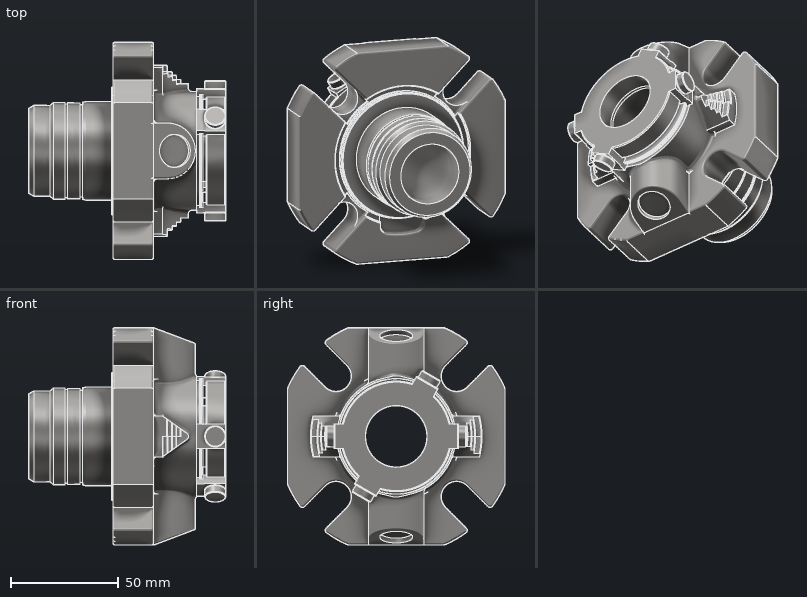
import cadquery as cq
import math

disc_start = 38.6
flange_start = 39.3
flange_end = 58.2
neck_start = 78.3
ring_start = 79.6
ring_end = 81.2
collar_start = 82.7
length = 91.91

bore_diameter = 28.57
liner_diameter = 28.65
nose_face_radius = 19.8
nose_radius = 42.58 / 2
nose_end_radius = nose_radius - 0.1
seat_radius = 45.32 / 2
band_radius = 44.91 / 2
band_end_radius = band_radius - 0.08
groove_radius = 43.24 / 2
first_groove_radius = groove_radius + 0.3
shoulder_radius = 22.7
sleeve_radius = 46.26 / 2
nose_chamfer_end = 2.4
nose_land_end = 8.2
nose_taper_end = 9.9
seat_start = 11.6
seat_end = 17.0
band_start = 18.0
band_middle = 20.9
band_end = 24.0
shoulder_start = 25.2
shoulder_end = 26.9

flange_width = 101.5
flange_corner_radius = 55.5
edge_fillet = 1.0
tip_fillet = 1.4
bolt_slot_radius = 7.1
bolt_slot_pitch_radius = 39.75
pocket_depth = 3.5
pocket_fillet = 0.9
hub_radius = 31.2
hub_step_radius = 30.5
hub_step_height = 0.9
counterbore_radius = 33.5
counterbore_depth = 2.2
counterbore_chamfer = 0.45
disc_radius = 29.9
disc_chamfer = 0.3

recess_half_width = 10.8
recess_radius = 38.0
recess_corner_radius = 4.5
recess_depth = 2.9
recess_fillet = 0.8

barrel_radius = 55.5 / 2
barrel_fillet = 2.1
barrel_run_out = 5.0
boss_radius = 13.0
boss_centre_x = 64.7
boss_end_height = 43.4
boss_edge_fillet = 0.8
boss_base_fillet = 1.9
port_diameter = 15.34
port_depth = 2.4
port_centre_x = 68.2
fin_half_width = 9.5
fin_corner_x = 62.4
fin_apex_x = 75.8
fin_tip_radius = 1.8
fin_embed_radius = 23.7
fin_base_fillet = 1.6
fin_step_radii = [40.0, 37.0, 35.3, 33.4, 31.4]
fin_step_ends = [64.7, 67.0, 69.0, 71.0, fin_apex_x]
fin_tread_chamfer = 0.4
fin_stagger = 2.0

neck_radius = 26.0
ring_radius = 27.0
ring_groove_width = 0.4
ring_groove_depth = 0.3
collar_radius = 51.66 / 2
collar_chamfer = 0.5
lug_width = 11.5
lug_inner_radius = 24.0
lug_outer_radius = 29.0
lug_ramp_start = 81.3
lug_step = 0.4
lug_angles = [0, 60, 180, 240]
pin_diameter = 9.88
pin_end_radius = 32.75
pin_chamfer = 0.35
pin_neck_diameter = 9.0
pin_neck_height = 0.4
pin_centre_x = length - pin_diameter / 2

half_width = flange_width / 2
tolerance = 0.01
boss_slope = math.atan2(half_width - boss_end_height, boss_centre_x + boss_radius - flange_end)


def disc(start, end, radius):
    """Cylinder about X between two stations."""
    return cq.Workplane("YZ", origin=(start, 0, 0)).circle(radius).extrude(end - start)


def revolved(points):
    """Solid of revolution about X from a half profile of (x, radius) points."""
    return cq.Workplane("XY").polyline(points).close().revolve(360, (0, 0, 0), (1, 0, 0))


def sleeve():
    """Stepped and grooved sleeve ahead of the flange; the bore is cut later."""
    return revolved([
        (0, 0), (0, nose_face_radius),
        (nose_chamfer_end, nose_radius), (nose_land_end, nose_radius), (nose_taper_end, nose_end_radius),
        (seat_start, seat_radius), (seat_end, seat_radius),
        (seat_end, first_groove_radius), (band_start, first_groove_radius),
        (band_start, band_radius), (band_middle, band_radius), (band_end, band_end_radius),
        (band_end, groove_radius), (shoulder_start, groove_radius),
        (shoulder_start, shoulder_radius), (shoulder_end, sleeve_radius),
        (disc_start, sleeve_radius), (disc_start, 0),
    ])


def flange_blank():
    thickness = flange_end - flange_start
    square = cq.Workplane("YZ", origin=(flange_start, 0, 0)).rect(flange_width, flange_width)
    square = square.extrude(thickness)
    return square.intersect(disc(flange_start, flange_end, flange_corner_radius))


def four_diagonals(tool):
    """The four copies of a +Y tool turned onto the flange diagonals."""
    copies = cq.Workplane("XY")
    for quarter in range(4):
        copies = copies.add(tool.rotate((0, 0, 0), (1, 0, 0), 45 + 90 * quarter))
    return copies.combine()


def slot_channel(start, end, inner_radius):
    """Straight channel of slot width that runs outward along +Y from inner_radius."""
    run = flange_width - inner_radius
    channel = cq.Workplane("XY").box(end - start, run, 2 * bolt_slot_radius)
    return channel.translate(((start + end) / 2, inner_radius + run / 2, 0))


def bolt_slot():
    round_end = disc(flange_start, flange_end, bolt_slot_radius).translate((0, bolt_slot_pitch_radius, 0))
    return slot_channel(flange_start, flange_end, bolt_slot_pitch_radius).union(round_end)


def slot_pocket():
    pocket = slot_channel(flange_start, flange_start + pocket_depth, 0)
    return pocket.edges(">X and |Y").fillet(pocket_fillet)


def rounded_lobe_tips(body):
    tips = [
        edge for edge in body.edges("|X").vals()
        if math.hypot(edge.Center().y, edge.Center().z) > flange_corner_radius - edge_fillet
        and min(abs(edge.Center().y), abs(edge.Center().z)) > half_width / 2
    ]
    return body.newObject(tips).fillet(tip_fillet)


def flange():
    body = flange_blank().cut(four_diagonals(bolt_slot())).cut(four_diagonals(slot_pocket()))
    body = rounded_lobe_tips(body)
    body = body.faces("<X").edges().fillet(edge_fillet)
    body = body.faces(">X").edges().fillet(edge_fillet)
    hub_end = flange_start + pocket_depth + pocket_fillet
    body = body.union(disc(flange_start, hub_end, hub_radius))
    body = rounded_recess_rim(body.cut(counterbore()).cut(drain_recess()))
    step = disc(flange_start + counterbore_depth - hub_step_height, hub_end, hub_step_radius)
    front_disc = disc(disc_start, hub_end, disc_radius).faces("<X").edges().chamfer(disc_chamfer)
    return body.union(step).union(front_disc)


def counterbore():
    floor = flange_start + counterbore_depth
    wall_radius = counterbore_radius - counterbore_chamfer
    return revolved([
        (flange_start, 0), (flange_start, counterbore_radius),
        (flange_start + counterbore_chamfer, wall_radius), (floor, wall_radius), (floor, 0),
    ])


def drain_recess():
    tool = disc(flange_start, flange_start + recess_depth, recess_radius)
    side = cq.Workplane("XY").box(recess_depth, 2 * recess_half_width, recess_radius)
    tool = tool.intersect(side.translate((flange_start + recess_depth / 2, 0, -recess_radius / 2)))
    corners = [edge for edge in tool.edges("|X").vals() if edge.Center().z < -recess_radius / 2]
    tool = tool.newObject(corners).fillet(recess_corner_radius)
    return tool.faces(">X").edges("<Z").fillet(recess_fillet)


def rounded_recess_rim(body):
    rim = [
        edge for edge in body.faces("<X").edges().vals()
        if abs(edge.Center().y) < recess_half_width + edge_fillet
        and -recess_radius - edge_fillet < edge.Center().z < -counterbore_radius + edge_fillet
    ]
    return body.newObject(rim).fillet(recess_fillet)


def gland_barrel():
    """Cylinder behind the flange, with a rounded root against the flange face."""
    embedded = flange_end - edge_fillet
    return (
        cq.Workplane("XY").moveTo(embedded, 0).lineTo(embedded, barrel_radius + barrel_fillet)
        .lineTo(flange_end, barrel_radius + barrel_fillet)
        .radiusArc((flange_end + barrel_fillet, barrel_radius), -barrel_fillet)
        .lineTo(neck_start + barrel_run_out, barrel_radius).lineTo(neck_start + barrel_run_out, 0).close()
        .revolve(360, (0, 0, 0), (1, 0, 0))
    )


def port_boss():
    """Boss on +Z: round-ended in plan, with a sloping top that holds a shallow round port."""
    start = flange_end - 2 * edge_fillet
    end = boss_centre_x + boss_radius
    plan = (
        cq.Workplane("XY").moveTo(start, -boss_radius).lineTo(boss_centre_x, -boss_radius)
        .threePointArc((end, 0), (boss_centre_x, boss_radius))
        .lineTo(start, boss_radius).close().extrude(half_width)
    )
    side = (
        cq.Workplane("XZ")
        .polyline([
            (start, 0), (start, half_width), (flange_end, half_width), (end, boss_end_height), (end, 0),
        ])
        .close().extrude(boss_radius, both=True)
    )
    boss = plan.intersect(side)
    rim = []
    for edge in boss.edges().vals():
        centre = edge.Center()
        along_side = centre.z > boss_end_height and centre.x > flange_end and abs(centre.y) > tolerance
        if along_side or edge.geomType() == "ELLIPSE":
            rim.append(edge)
    boss = boss.newObject(rim).fillet(boss_edge_fillet)
    port_z = half_width - (port_centre_x - flange_end) * math.tan(boss_slope)
    normal = (math.sin(boss_slope), 0, math.cos(boss_slope))
    mouth = cq.Plane(origin=(port_centre_x, 0, port_z), xDir=(0, 1, 0), normal=normal)
    port = cq.Workplane(mouth).circle(port_diameter / 2).extrude(-port_depth)
    return boss.cut(port)


def fin_staircase(shift):
    """Rings of falling radius about X with eased edges; every tread but the last ends `shift` earlier."""
    riser = flange_end - edge_fillet
    points = [(riser, 0)]
    for radius, end in zip(fin_step_radii, fin_step_ends):
        points.append((riser, radius))
        riser = end if end == fin_apex_x else end - shift
        points.append((riser - fin_tread_chamfer, radius))
        points.append((riser, radius - fin_tread_chamfer))
    points.append((fin_apex_x, 0))
    return revolved(points)


def arrow_prism(inner_y, outer_y):
    """Arrow outline pointing along +X, extruded between two Y levels, with a rounded tip."""
    embedded = flange_end - edge_fillet
    outline = (
        cq.Workplane("XZ", origin=(0, outer_y, 0))
        .polyline([
            (embedded, -fin_half_width), (fin_corner_x, -fin_half_width), (fin_apex_x, 0),
            (fin_corner_x, fin_half_width), (embedded, fin_half_width),
        ])
        .close().extrude(outer_y - inner_y)
    )
    return outline.edges("|Y and >X").fillet(fin_tip_radius)


def fin():
    """Arrow-shaped stepped fin on +Y; the steps of its upper half are staggered towards the flange."""
    arrow = arrow_prism(fin_embed_radius, fin_step_radii[0])
    upper = cq.Workplane("XY").box(2 * length, 2 * length, length).translate((0, 0, length / 2))
    lower = upper.mirror("XY")
    return (
        arrow.intersect(fin_staircase(fin_stagger)).intersect(upper)
        .union(arrow.intersect(fin_staircase(0)).intersect(lower))
    )


def neck_and_ring():
    """Short neck and a grooved retaining ring behind the barrel."""
    neck = disc(neck_start, ring_start, neck_radius)
    ring = disc(ring_start, ring_end, ring_radius)
    middle = (ring_start + ring_end - ring_groove_width) / 2
    groove = disc(middle, middle + ring_groove_width, ring_radius)
    groove = groove.cut(disc(middle, middle + ring_groove_width, ring_radius - ring_groove_depth))
    return neck.union(ring.cut(groove))


def drive_collar():
    """Collar that carries the pins, joined to the ring by the thin liner."""
    collar = disc(collar_start, length, collar_radius).faces("<X or >X").edges().chamfer(collar_chamfer)
    return collar.union(disc(ring_end, collar_start, liner_diameter / 2))


def lug_with_pin():
    """Lug on +Y bridging the neck and the collar, with a round pin head."""
    lug = (
        cq.Workplane("XY")
        .polyline([
            (neck_start, lug_inner_radius), (neck_start, lug_outer_radius),
            (lug_ramp_start, lug_outer_radius),
            (collar_start, lug_outer_radius - lug_step), (length, lug_outer_radius - lug_step),
            (length, lug_inner_radius),
        ])
        .close().extrude(lug_width / 2, both=True)
    )
    head_base = lug_outer_radius - lug_step + pin_neck_height
    head = (
        cq.Workplane("XZ", origin=(pin_centre_x, pin_end_radius, 0)).circle(pin_diameter / 2)
        .extrude(pin_end_radius - head_base).faces(">Y").edges().chamfer(pin_chamfer)
    )
    neck = (
        cq.Workplane("XZ", origin=(pin_centre_x, head_base, 0)).circle(pin_neck_diameter / 2)
        .extrude(head_base - lug_inner_radius)
    )
    return lug.union(head).union(neck)


def root_edges(body, side):
    """Edges where the bosses (side Z) or the fins (side Y) meet the gland barrel."""
    roots = []
    for edge in body.edges().vals():
        centre = edge.Center()
        offset = abs(centre.z) if side == "Z" else abs(centre.y)
        across = abs(centre.y) if side == "Z" else abs(centre.z)
        ends = [edge.startPoint(), edge.endPoint()]
        on_barrel = all(abs(math.hypot(end.y, end.z) - barrel_radius) < tolerance for end in ends)
        seam = edge.geomType() == "LINE" and across < tolerance
        beside_flange = centre.x < flange_end + barrel_fillet + tolerance
        beyond_body = centre.x > neck_start
        if on_barrel and offset > boss_radius * 1.5 and not (seam or beside_flange or beyond_body):
            roots.append(edge)
    return roots


def gland_body():
    """Barrel, bosses and fins, with rounded roots where the bosses and fins leave the barrel."""
    body = gland_barrel()
    for half_turn in (0, 180):
        body = body.union(port_boss().rotate((0, 0, 0), (1, 0, 0), half_turn))
        body = body.union(fin().rotate((0, 0, 0), (1, 0, 0), half_turn))
    body = body.newObject(root_edges(body, "Z")).fillet(boss_base_fillet)
    body = body.newObject(root_edges(body, "Y")).fillet(fin_base_fillet)
    return body.cut(disc(neck_start, neck_start + barrel_run_out, flange_width))


result = sleeve().union(flange()).union(gland_body()).union(neck_and_ring()).union(drive_collar())
for lug_angle in lug_angles:
    result = result.union(lug_with_pin().rotate((0, 0, 0), (1, 0, 0), lug_angle))
result = result.cut(disc(0, length, bore_diameter / 2))